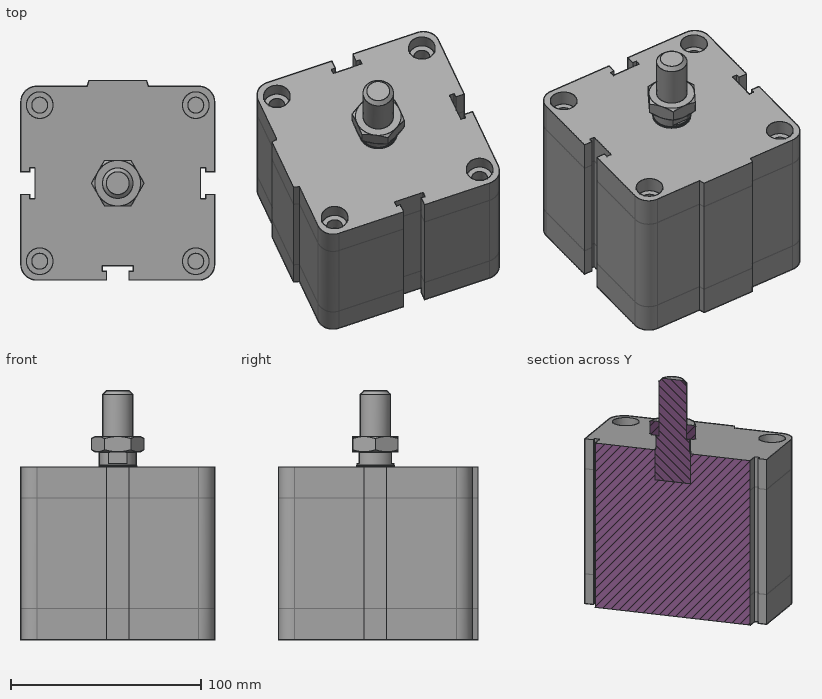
import cadquery as cq
import math

housing_side = 102.0
housing_height = 91.0
corner_radius = 8.5
end_cap_height = 16.5
barrel_height = housing_height - 2 * end_cap_height

key_base_width = 32.2
key_top_width = 30.4
key_height = 3.0

slot_mouth_width = 11.8
slot_inner_width = 16.2
slot_lip_depth = 4.8
slot_depth = 7.5

hole_spacing = 82.0
screw_hole_diameter = 8.38
counterbore_diameter = 14.0
counterbore_depth = 8.5
screw_hole_depth = end_cap_height

rod_top = 131.0
rod_bottom = end_cap_height + barrel_height
collar_diameter = 19.5
guide_diameter = 20.0
guide_top = housing_height + 0.9
guide_chamfer = 0.5
collar_chamfer = 0.5
flat_bottom = housing_height + 1.8
wrench_width = 17.0
thread_diameter = 16.0
thread_chamfer = 2.0

nut_bottom = 98.9
nut_height = 8.0
nut_width = 24.0
nut_corner_diameter = nut_width / math.cos(math.radians(30))
nut_chamfer_angle = 30.0


def slot_cutter(bottom, height):
    """T-slot through one housing section, on its -Y side."""
    face = -housing_side / 2
    mouth = slot_mouth_width / 2
    inner = slot_inner_width / 2
    lip = face + slot_lip_depth
    floor = face + slot_depth
    return (
        cq.Workplane("XY", origin=(0, 0, bottom))
        .polyline([
            (-mouth, face),
            (mouth, face),
            (mouth, lip),
            (inner, lip),
            (inner, floor),
            (-inner, floor),
            (-inner, lip),
            (-mouth, lip),
        ])
        .close()
        .extrude(height)
    )


def housing_section(bottom, height):
    """Rounded square prism with the key strip on its +Y side and T-slots on the others."""
    half_side = housing_side / 2
    block = (
        cq.Workplane("XY", origin=(0, 0, bottom))
        .rect(housing_side, housing_side)
        .extrude(height)
        .edges("|Z")
        .fillet(corner_radius)
    )
    key = (
        cq.Workplane("XY", origin=(0, 0, bottom))
        .polyline([
            (-key_base_width / 2, half_side),
            (key_base_width / 2, half_side),
            (key_top_width / 2, half_side + key_height),
            (-key_top_width / 2, half_side + key_height),
        ])
        .close()
        .extrude(height)
    )
    section = block.union(key)
    for angle in (-90, 0, 90):
        slot = slot_cutter(bottom, height).rotate((0, 0, 0), (0, 0, 1), angle)
        section = section.cut(slot)
    return section


def corner_cylinders(diameter, depth):
    """Four cylinders at the corner holes, reaching down from the top face."""
    return (
        cq.Workplane("XY", origin=(0, 0, housing_height - depth))
        .rect(hole_spacing, hole_spacing, forConstruction=True)
        .vertices()
        .circle(diameter / 2)
        .extrude(depth)
    )


def make_housing():
    """Barrel between two flush end caps, whose joint lines stay on the sides."""
    body = housing_section(0, end_cap_height)
    body = body.union(housing_section(end_cap_height, barrel_height), clean=False)
    body = body.union(housing_section(end_cap_height + barrel_height, end_cap_height), clean=False)

    screw_holes = corner_cylinders(screw_hole_diameter, screw_hole_depth)
    counterbores = corner_cylinders(counterbore_diameter, counterbore_depth)
    rod_bore = (
        cq.Workplane("XY", origin=(0, 0, rod_bottom))
        .circle(guide_diameter / 2)
        .extrude(housing_height - rod_bottom)
    )
    for cutter in (screw_holes, counterbores, rod_bore):
        body = body.cut(cutter, clean=False)
    return body


def make_rod():
    """Chamfered guide, collar with two wrench flats facing -Y and +Y, and chamfered thread."""
    rod = (
        cq.Workplane("XY", origin=(0, 0, rod_bottom))
        .circle(guide_diameter / 2)
        .extrude(guide_top - rod_bottom)
        .faces(">Z")
        .chamfer(guide_chamfer, (guide_diameter - collar_diameter) / 2)
    )
    collar = (
        cq.Workplane("XY", origin=(0, 0, guide_top))
        .circle(collar_diameter / 2)
        .extrude(nut_bottom - guide_top)
        .faces(">Z")
        .chamfer(collar_chamfer)
    )
    flats = (
        cq.Workplane("XY", origin=(0, 0, flat_bottom))
        .rect(collar_diameter, collar_diameter)
        .rect(collar_diameter, wrench_width)
        .extrude(nut_bottom - flat_bottom)
    )
    thread = (
        cq.Workplane("XY", origin=(0, 0, nut_bottom))
        .circle(thread_diameter / 2)
        .extrude(rod_top - nut_bottom)
        .faces(">Z")
        .chamfer(thread_chamfer)
    )
    return rod.union(collar).cut(flats).union(thread)


def make_nut():
    """Hexagon with its corners turned off by a cone at both ends."""
    hexagon = (
        cq.Workplane("XY", origin=(0, 0, nut_bottom))
        .polygon(6, nut_corner_diameter)
        .extrude(nut_height)
    )
    corner_overhang = (nut_corner_diameter - nut_width) / 2
    chamfer_drop = corner_overhang * math.tan(math.radians(nut_chamfer_angle))
    turned_blank = (
        cq.Workplane("XY", origin=(0, 0, nut_bottom))
        .circle(nut_corner_diameter / 2)
        .extrude(nut_height)
        .faces("<Z or >Z")
        .chamfer(chamfer_drop, corner_overhang)
    )
    bore = (
        cq.Workplane("XY", origin=(0, 0, nut_bottom))
        .circle(thread_diameter / 2)
        .extrude(nut_height)
    )
    return hexagon.intersect(turned_blank).cut(bore)


housing = make_housing()
rod = make_rod()
nut = make_nut()

result = cq.Compound.makeCompound([housing.val(), rod.val(), nut.val()])